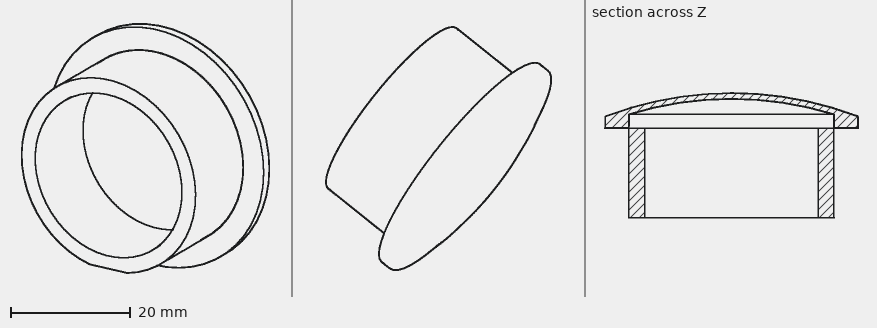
import cadquery as cq
import math

flange_radius = 21.2
rim_height = 1.7
edge_break = 0.42
dome_rise = 3.77

tube_radius = 34.4 / 2
bore_radius = 29.0 / 2
tube_length = 15.0
flat_height = 16.8

cavity_radius = 17.15
cap_wall = 1.0

shoulder_y = rim_height + edge_break
crown_y = shoulder_y + dome_rise
ceiling_y = crown_y - cap_wall

dome_edge_radius = flange_radius - edge_break
dome_radius = (dome_edge_radius**2 + dome_rise**2) / (2 * dome_rise)
dome_centre_y = crown_y - dome_radius
ceiling_radius = dome_radius - cap_wall


def sphere_y(radius, distance_from_axis):
    """Y of a dome-centred sphere at a given distance from the axis."""
    return dome_centre_y + math.sqrt(radius**2 - distance_from_axis**2)


def revolve_about_y(profile):
    return profile.close().revolve(360, (0, 0, 0), (0, 1, 0))


def make_cap():
    half_edge = dome_edge_radius / 2
    corner_mid = edge_break * math.sqrt(0.5)
    return revolve_about_y(
        cq.Workplane("XY")
        .lineTo(flange_radius, 0)
        .lineTo(flange_radius, rim_height)
        .threePointArc(
            (dome_edge_radius + corner_mid, rim_height + corner_mid),
            (dome_edge_radius, shoulder_y),
        )
        .threePointArc((half_edge, sphere_y(dome_radius, half_edge)), (0, crown_y))
    )


def make_tube():
    tube = cq.Workplane("XZ").circle(tube_radius).circle(bore_radius).extrude(tube_length)
    keep = cq.Workplane("XY").box(
        2 * tube_radius, tube_length, flat_height + tube_radius, centered=(True, False, False)
    )
    return tube.intersect(keep.translate((0, -tube_length, -flat_height)))


def make_hollow():
    half_width = cavity_radius / 2
    return revolve_about_y(
        cq.Workplane("XY")
        .lineTo(cavity_radius, 0)
        .lineTo(cavity_radius, sphere_y(ceiling_radius, cavity_radius))
        .threePointArc((half_width, sphere_y(ceiling_radius, half_width)), (0, ceiling_y))
    )


cap = make_cap().cut(make_hollow())
result = cap.union(make_tube())